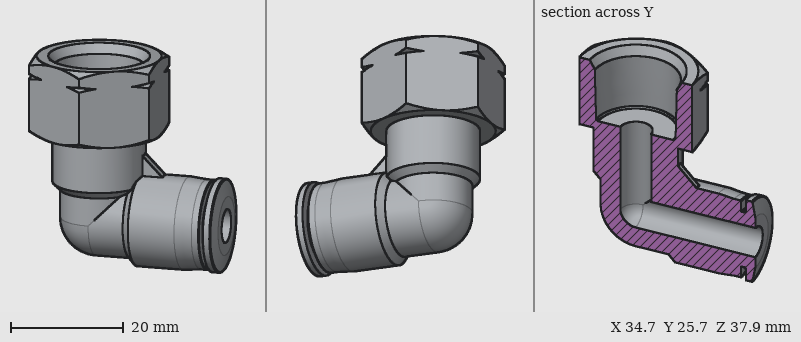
import cadquery as cq
import math


elbow_diameter = 14.0
bore_diameter = 6.0
body_diameter = 16.7
body_start = 7.75
stem_start = 6.5

nut_sides = 6
half_side_angle = 180 / nut_sides
across_flats = 22.22
nut_top = 29.5
nut_height = 14.0
nut_chamfer_angle = 30.0
corner_radius = across_flats / 2 / math.cos(math.radians(half_side_angle))
cutter_margin = 1.0

groove_root_radius = 11.6
groove_half_width = 0.485
groove_depth_from_top = 3.0

port_mouth_diameter = 18.1
port_diameter = 16.05
port_end_diameter = 15.54
port_floor_diameter = 14.86
port_depth = 12.0
port_mouth_angle = 30.0

taper_start = 16.3
taper_end = 19.42
cap_end = 20.78
cap_diameter = 16.1
cap_chamfer = 0.1

neck_diameter = 11.53
neck_end = 21.32
collar_start = 21.65
collar_rim_end = 22.85
collar_end = 23.55
collar_diameter = 16.8
collar_edge_chamfer = 0.15
collar_face_diameter = 10.5
neck_flare = 0.33

rib_width = 2.0
rib_reach = 11.95
rib_root = 3.5


def revolve_about_z(points):
    """Revolve an outline of (radius, height) points about Z."""
    return cq.Workplane("XZ").polyline(points).close().revolve(360, (0, 0, 0), (0, 1, 0))


def revolve_about_x(points):
    """Revolve an outline of (distance, radius) points about X."""
    return cq.Workplane("XZ").polyline(points).close().revolve(360, (0, 0, 0), (1, 0, 0))


def make_elbow():
    """Two mitred arms with a ball at the outer corner, each widening to the body diameter."""
    small = elbow_diameter / 2
    large = body_diameter / 2
    step = large - small
    nut_bottom = nut_top - nut_height
    stem = revolve_about_z([
        (0, 0),
        (small, 0),
        (small, stem_start - step),
        (large, stem_start),
        (large, nut_bottom),
        (0, nut_bottom),
    ])
    cap = cap_diameter / 2
    socket = revolve_about_x([
        (0, 0),
        (0, small),
        (body_start - step, small),
        (body_start, large),
        (taper_start, large),
        (taper_end, cap),
        (cap_end - cap_chamfer, cap),
        (cap_end, cap - cap_chamfer),
        (cap_end, 0),
    ])
    ball = cq.Workplane("XY").sphere(small)
    return stem.union(socket).union(ball)


def make_collar():
    """Release collar: a thin neck flaring into a rim with a shallow conical face."""
    neck = neck_diameter / 2
    rim = collar_diameter / 2
    return revolve_about_x([
        (cap_end, 0),
        (cap_end, neck),
        (neck_end, neck),
        (collar_start, neck + neck_flare),
        (collar_start, rim),
        (collar_rim_end, rim),
        (collar_rim_end + collar_edge_chamfer, rim - collar_edge_chamfer),
        (collar_end, collar_face_diameter / 2),
        (collar_end, 0),
    ])


def make_rib():
    """Triangular gusset filling the inner corner between the arms."""
    tip = body_diameter / 2 + rib_reach - rib_root
    return (
        cq.Workplane("XZ")
        .polyline([(rib_root, rib_root), (tip, rib_root), (rib_root, tip)])
        .close()
        .extrude(rib_width / 2, both=True)
    )


def make_nut():
    """Hexagon with corners on the Y axis, both ends chamfered and the corners grooved."""
    bottom = nut_top - nut_height
    hexagon = (
        cq.Workplane("XY", origin=(0, 0, bottom))
        .polygon(nut_sides, 2 * corner_radius)
        .extrude(nut_height)
        .rotate((0, 0, 0), (0, 0, 1), half_side_angle)
    )
    flat_radius = across_flats / 2
    envelope_radius = corner_radius + cutter_margin
    drop = (envelope_radius - flat_radius) * math.tan(math.radians(nut_chamfer_angle))
    chamfer_envelope = revolve_about_z([
        (0, bottom),
        (flat_radius, bottom),
        (envelope_radius, bottom + drop),
        (envelope_radius, nut_top - drop),
        (flat_radius, nut_top),
        (0, nut_top),
    ])
    groove_height = nut_top - groove_depth_from_top
    groove_slope = groove_half_width / (corner_radius - groove_root_radius)
    opening = (envelope_radius - groove_root_radius) * groove_slope
    groove = revolve_about_z([
        (groove_root_radius, groove_height),
        (envelope_radius, groove_height - opening),
        (envelope_radius, groove_height + opening),
    ])
    return hexagon.intersect(chamfer_envelope).cut(groove)


def make_port():
    """Space inside the nut: conical mouth, slow thread taper and a chamfered floor."""
    mouth = port_mouth_diameter / 2
    top = port_diameter / 2
    end = port_end_diameter / 2
    floor = port_floor_diameter / 2
    mouth_depth = (mouth - top) / math.tan(math.radians(port_mouth_angle))
    floor_height = nut_top - port_depth - (end - floor)
    return revolve_about_z([
        (0, nut_top),
        (mouth, nut_top),
        (top, nut_top - mouth_depth),
        (end, nut_top - port_depth),
        (floor, floor_height),
        (0, floor_height),
    ])


def make_passage():
    """Flow passage turning from the port to the socket end, rounded at the corner."""
    radius = bore_diameter / 2
    down = cq.Workplane("XY").circle(radius).extrude(nut_top)
    across = cq.Workplane("YZ").circle(radius).extrude(collar_end)
    corner = cq.Workplane("XY").sphere(radius)
    return down.union(across).union(corner)


outside = make_elbow().union(make_collar()).union(make_rib()).union(make_nut())
result = outside.cut(make_port()).cut(make_passage())